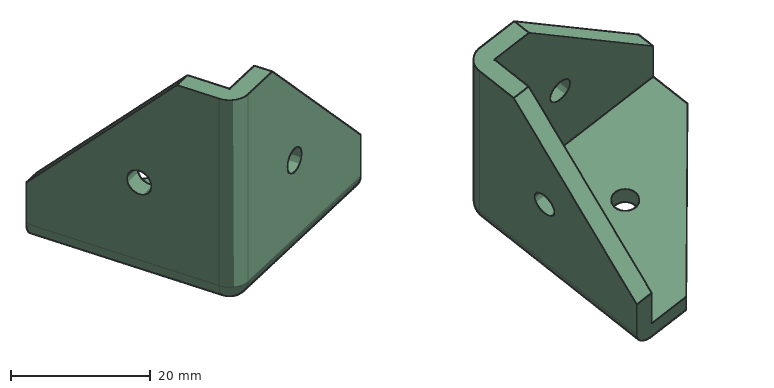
import cadquery as cq

size = 35.0
wall = 3.0
end_width = 9.98
hole_diameter = 4.0
hole_offset = 16.25
edge_radius = wall


def wall_plate(plane, corner_u, direction_u):
    """Plate with a cut-off corner and one hole, its outer corner at (corner_u, 0)."""
    def place(u, v):
        return (corner_u + direction_u * u, v)

    outline = [
        place(0, 0),
        place(size, 0),
        place(size, end_width),
        place(end_width, size),
        place(0, size),
    ]
    plate = cq.Workplane(plane).polyline(outline).close().extrude(wall)
    hole = (
        cq.Workplane(plane)
        .center(*place(hole_offset, hole_offset))
        .circle(hole_diameter / 2)
        .extrude(wall)
    )
    return plate.cut(hole)


floor = wall_plate(cq.Plane.XY(), size, -1)
front_wall = wall_plate(cq.Plane((0, 0, 0), (-1, 0, 0), (0, 1, 0)), -size, 1)
side_wall = wall_plate(cq.Plane((size, 0, 0), (0, -1, 0), (-1, 0, 0)), 0, -1)

envelope = (
    cq.Workplane("XY")
    .box(size, size, size, centered=False)
    .edges("(>X and <Y) or (>X and <Z) or (<Y and <Z)")
    .fillet(edge_radius)
)

result = floor.union(front_wall).union(side_wall).intersect(envelope)